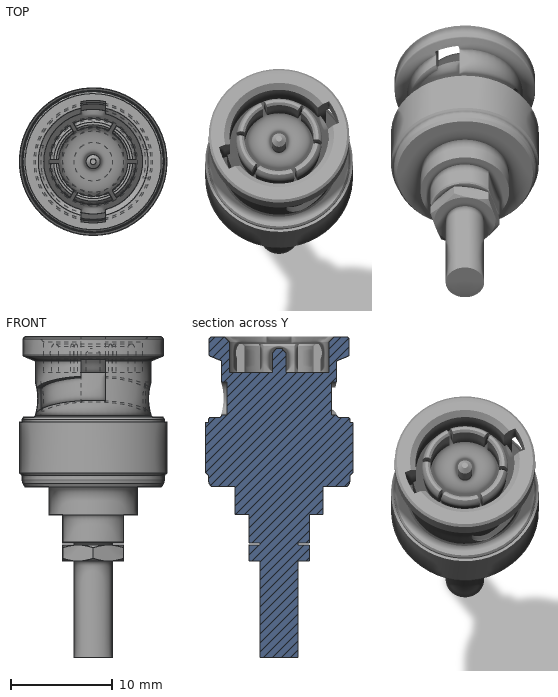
import cadquery as cq
import math

cable_end = 0.0
nut_bottom = 9.55
nut_top = 11.15
flats_bottom = 11.35
collar_bottom = 14.13
grip_bottom = 16.9
grip_top = 23.78
socket_floor = 28.23
flange_bottom = 29.35
top = 31.75

cable_radius = 1.9
across_flats = 6.03
hex_half_angle = 30.0
across_corners = across_flats / math.cos(math.radians(hex_half_angle))
nut_chamfer_angle = 30.0
rear_body_radius = across_corners / 2
rear_body_chamfer = 0.13
collar_radius = 4.38

grip_radius = 7.3
rim_radius = 7.05
bottom_rim_height = 1.15
grip_end_radius = 6.73
grip_bevel_radius = 6.95
grip_end_bevel_height = 0.32
grip_upper_bevel_height = 0.7
grip_chamfer = grip_radius - rim_radius
top_rim_height = 0.48
top_rim_chamfer = 0.15
top_rim_chamfer_height = 0.22
lip_radius = 5.87
lip_height = 0.15

sleeve_radius = 5.7
inner_body_radius = 5.18
flange_radius = 6.95
flange_cone_height = 0.5
flange_fillet = 0.2
flange_chamfer = 0.22
mouth_radius = 4.9
mouth_chamfer = 0.55

keyway_width = 2.45
keyway_reach = 6.05
keyway_floor = 25.43
detent_height = 25.62
detent_radius = 1.62
ramp_angle = 14.6
ramp_width = 2.35

finger_inner_radius = 3.43
finger_outer_radius = 4.13
finger_bulge_radius = 4.25
finger_top_inner_radius = 3.65
finger_top_outer_radius = 3.9
finger_top = 31.02
finger_bulge_bottom = 29.53
finger_bulge_height = 30.15
finger_lead_in = 0.22
finger_slit_width = 0.4
finger_slit_count = 6
pin_radius = 0.7
pin_tip_radius = 0.3
pin_tip_length = 0.45
pin_top = 30.58


def cylinder(radius, bottom, height):
    return cq.Workplane("XY").workplane(offset=bottom).circle(radius).extrude(height)


def turned(points):
    """Solid of revolution about Z from (radius, height) points."""
    return cq.Workplane("XZ").polyline(points).close().revolve(360, (0, 0), (0, 1))


def make_nut():
    height = nut_top - nut_bottom
    hexagon = (
        cq.Workplane("XY").workplane(offset=nut_bottom)
        .polygon(6, across_corners).extrude(height)
        .rotate((0, 0, 0), (0, 0, 1), hex_half_angle)
    )
    face_radius = across_flats / 2
    corner_radius = across_corners / 2
    drop = (corner_radius - face_radius) * math.tan(math.radians(nut_chamfer_angle))
    corner_chamfers = turned([
        (0, nut_bottom),
        (face_radius, nut_bottom),
        (corner_radius, nut_bottom + drop),
        (corner_radius, nut_top - drop),
        (face_radius, nut_top),
        (0, nut_top),
    ])
    return hexagon.intersect(corner_chamfers)


def make_rear_body():
    height = collar_bottom - flats_bottom
    body = cylinder(rear_body_radius, flats_bottom, height).faces("<Z").chamfer(rear_body_chamfer)
    flats = cq.Workplane("XY").workplane(offset=flats_bottom).rect(across_flats, across_corners).extrude(height)
    return body.intersect(flats)


def make_grip():
    shoulder = grip_bottom + bottom_rim_height
    step = grip_top - top_rim_height
    return turned([
        (0, grip_bottom),
        (grip_end_radius, grip_bottom),
        (grip_bevel_radius, grip_bottom + grip_end_bevel_height),
        (rim_radius, grip_bottom + grip_upper_bevel_height),
        (rim_radius, shoulder),
        (grip_radius, shoulder + grip_chamfer),
        (grip_radius, step),
        (rim_radius, step),
        (rim_radius, grip_top - top_rim_chamfer_height),
        (rim_radius - top_rim_chamfer, grip_top),
        (lip_radius, grip_top),
        (sleeve_radius, grip_top + lip_height),
        (0, grip_top + lip_height),
    ])


def make_sleeve():
    flange = turned([
        (0, flange_bottom),
        (sleeve_radius, flange_bottom),
        (flange_radius, flange_bottom + flange_cone_height),
        (flange_radius, top),
        (0, top),
    ])
    flange = flange.faces(">Z").edges().chamfer(flange_chamfer)
    flange = flange.edges(cq.selectors.RadiusNthSelector(-1)).edges("<Z").fillet(flange_fillet)
    socket = turned([
        (0, socket_floor),
        (mouth_radius, socket_floor),
        (mouth_radius, top - mouth_chamfer),
        (mouth_radius + mouth_chamfer, top),
        (0, top),
    ])
    barrel = cylinder(sleeve_radius, grip_top, flange_bottom - grip_top)
    return barrel.union(flange).cut(socket)


def make_bayonet_cut():
    """Keyway, inclined ramp and detent hole of the -X, -Y side, outside the inner body."""
    keyway = (
        cq.Workplane("XY").workplane(offset=keyway_floor)
        .center(0, -keyway_reach / 2).rect(keyway_width, keyway_reach).extrude(top - keyway_floor)
    )
    keyway = keyway.intersect(cylinder(keyway_reach, keyway_floor, top - keyway_floor))
    cut_depth = sleeve_radius + keyway_width / 2
    outer_plane = cq.Workplane("YZ", origin=(-sleeve_radius, 0, detent_height))
    detent = outer_plane.circle(detent_radius).extrude(sleeve_radius)
    ramp_length = 2 * sleeve_radius
    ramp = (
        outer_plane.transformed(rotate=(0, 0, -ramp_angle))
        .center(-ramp_length / 2, ramp_width / 2 - detent_radius)
        .rect(ramp_length, ramp_width).extrude(cut_depth)
    )
    inner_body = cylinder(inner_body_radius, grip_top, socket_floor - grip_top)
    barrel = cylinder(sleeve_radius, grip_top, flange_bottom - grip_top)
    return ramp.union(detent).intersect(barrel).union(keyway).cut(inner_body)


def make_fingers():
    ring = (
        cq.Workplane("XZ").moveTo(finger_inner_radius, socket_floor)
        .lineTo(finger_outer_radius, socket_floor)
        .lineTo(finger_outer_radius, finger_bulge_bottom)
        .threePointArc(
            (finger_bulge_radius, finger_bulge_height),
            (finger_top_outer_radius, finger_top),
        )
        .lineTo(finger_top_inner_radius, finger_top)
        .lineTo(finger_inner_radius, finger_top - finger_lead_in)
        .close().revolve(360, (0, 0), (0, 1))
    )
    slits = (
        cq.Workplane("XY").workplane(offset=socket_floor)
        .polarArray(mouth_radius / 2, 0, 360, finger_slit_count)
        .rect(mouth_radius, finger_slit_width).extrude(finger_top - socket_floor)
    )
    return ring.cut(slits)


def make_pin():
    return turned([
        (0, socket_floor),
        (pin_radius, socket_floor),
        (pin_radius, pin_top - pin_tip_length),
        (pin_tip_radius, pin_top),
        (0, pin_top),
    ])


bayonet_cut = make_bayonet_cut()
opposite_bayonet_cut = bayonet_cut.rotate((0, 0, 0), (0, 0, 1), 180)
sleeve = make_sleeve().cut(bayonet_cut).cut(opposite_bayonet_cut)

result = (
    cylinder(cable_radius, cable_end, collar_bottom)
    .union(make_nut())
    .union(make_rear_body())
    .union(cylinder(collar_radius, collar_bottom, grip_bottom - collar_bottom))
    .union(make_grip())
    .union(sleeve)
    .union(make_fingers())
    .union(make_pin())
)